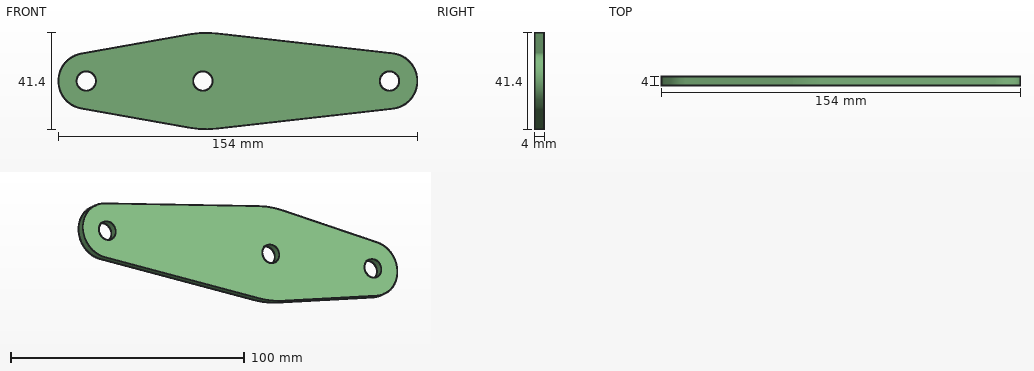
import cadquery as cq
import math

thickness = 4.0
end_radius = 12.0
hole_diameter = 8.2
left_spacing = 50.0
right_spacing = 80.0
half_height = 20.705
crown_radius = 40.0
crown_offset = 1.4

left_hole = (-left_spacing, 0.0)
middle_hole = (0.0, 0.0)
right_hole = (right_spacing, 0.0)
crown_centre = (crown_offset, half_height - crown_radius)


def tangent_angle(end_centre, side):
    """Direction from both arc centres to their contacts with the common upper tangent.

    side is -1 for an end to the left of the crown and +1 for one to the right.
    """
    run = abs(crown_centre[0] - end_centre[0])
    rise = crown_centre[1] - end_centre[1]
    lean = math.asin((crown_radius - end_radius) / math.hypot(run, rise)) + math.atan2(rise, run)
    return math.pi / 2 - side * lean


def point_on_arc(centre, radius, angle):
    return (centre[0] + radius * math.cos(angle), centre[1] + radius * math.sin(angle))


def mirrored(point):
    return (point[0], -point[1])


def make_plate():
    left_angle = tangent_angle(left_hole, -1)
    right_angle = tangent_angle(right_hole, 1)
    left_end = point_on_arc(left_hole, end_radius, left_angle)
    crown_left = point_on_arc(crown_centre, crown_radius, left_angle)
    crown_top = point_on_arc(crown_centre, crown_radius, math.pi / 2)
    crown_right = point_on_arc(crown_centre, crown_radius, right_angle)
    right_end = point_on_arc(right_hole, end_radius, right_angle)
    right_tip = (right_hole[0] + end_radius, 0.0)
    left_tip = (left_hole[0] - end_radius, 0.0)

    return (
        cq.Workplane("XZ")
        .moveTo(*left_end)
        .lineTo(*crown_left)
        .threePointArc(crown_top, crown_right)
        .lineTo(*right_end)
        .threePointArc(right_tip, mirrored(right_end))
        .lineTo(*mirrored(crown_right))
        .threePointArc(mirrored(crown_top), mirrored(crown_left))
        .lineTo(*mirrored(left_end))
        .threePointArc(left_tip, left_end)
        .close()
        .extrude(thickness)
    )


def drill_holes(plate):
    holes = (
        cq.Workplane("XZ")
        .pushPoints([left_hole, middle_hole, right_hole])
        .circle(hole_diameter / 2)
        .extrude(thickness)
    )
    return plate.cut(holes)


result = drill_holes(make_plate())